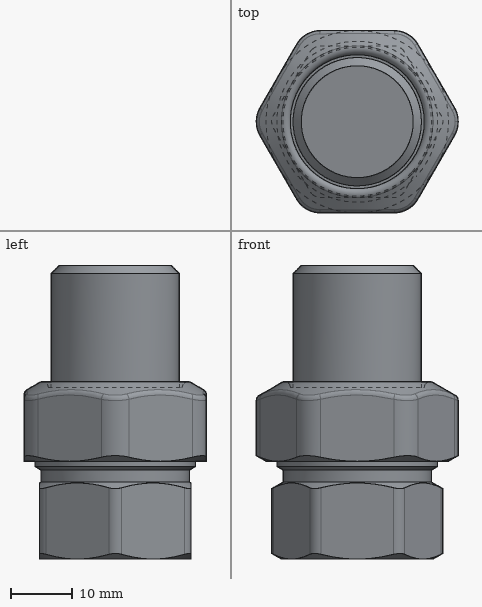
import cadquery as cq
import math

total_height = 48.0
cone_angle = math.radians(30)
cone_slope = math.tan(cone_angle)

spigot_diameter = 21.0
spigot_chamfer = 1.35

nut_flats = 29.8
nut_corner_radius = 4.55
nut_bottom = 16.0
nut_top = 29.0
nut_bore_radius = 10.95
nut_lip_radius = 0.95
nut_edge_radius = 1.0

collar_radius = 13.15
collar_cone_top = 15.15
collar_bottom = 14.55
neck_radius = 12.15

body_flats = 24.75
body_corner_radius = 2.05
body_top = 12.6


def hexagon(flats, corner_radius, bottom, top):
    """Hexagonal prism with corners on the X axis and rounded vertical edges."""
    across_corners = flats / math.cos(math.radians(30))
    prism = cq.Workplane("XY").workplane(offset=bottom).polygon(6, across_corners).extrude(top - bottom)
    return prism.edges("|Z").fillet(corner_radius)


def turned(points):
    """Solid of revolution about Z from a closed outline of (radius, height) points."""
    return cq.Workplane("XZ").polyline(points).close().revolve(360, (0, 0, 0), (0, 1, 0))


def turned_hexagon(flats, corner_radius, bottom, cone_radius, cone_top):
    """Hexagon with conical ends; the top cone has radius cone_radius at height cone_top."""
    chamfer_radius = flats / 2
    outer = flats
    envelope = turned([
        (0, bottom),
        (chamfer_radius, bottom),
        (outer, bottom + (outer - chamfer_radius) * cone_slope),
        (outer, cone_top - (outer - cone_radius) * cone_slope),
        (cone_radius, cone_top),
        (0, cone_top),
    ])
    return hexagon(flats, corner_radius, bottom, cone_top).intersect(envelope)


def union_nut():
    """Upper nut with a rounded lip that leaves a narrow gap around the spigot."""
    lip_centre_radius = nut_bore_radius + nut_lip_radius
    lip_centre_height = nut_top - nut_lip_radius
    cone_radius = lip_centre_radius + nut_lip_radius * math.sin(cone_angle)
    cone_top = lip_centre_height + nut_lip_radius * math.cos(cone_angle)
    nut = turned_hexagon(nut_flats, nut_corner_radius, nut_bottom, cone_radius, cone_top)

    wavy_edge = nut.faces("<Y").edges(">Z")
    nut = wavy_edge.fillet(nut_edge_radius)

    lip = (
        cq.Workplane("XZ")
        .moveTo(nut_bore_radius, lip_centre_height)
        .radiusArc((lip_centre_radius, nut_top), nut_lip_radius)
        .radiusArc((cone_radius, cone_top), nut_lip_radius)
        .lineTo(cone_radius, lip_centre_height)
        .close()
        .revolve(360, (0, 0, 0), (0, 1, 0))
    )
    recess = (
        cq.Workplane("XY")
        .workplane(offset=lip_centre_height)
        .circle(cone_radius)
        .extrude(nut_lip_radius)
    )
    return nut.cut(recess).union(lip)


def collar_and_neck():
    """Turned length joining the two hexagons."""
    return turned([
        (0, body_top),
        (neck_radius, body_top),
        (neck_radius, collar_bottom),
        (collar_radius, collar_cone_top),
        (collar_radius, nut_bottom),
        (0, nut_bottom),
    ])


def spigot():
    """Plain round end, running down to the foot of the nut and chamfered at the top."""
    return (
        cq.Workplane("XY")
        .workplane(offset=nut_bottom)
        .circle(spigot_diameter / 2)
        .extrude(total_height - nut_bottom)
        .faces(">Z")
        .chamfer(spigot_chamfer)
    )


lower_hexagon = turned_hexagon(body_flats, body_corner_radius, 0, neck_radius, body_top)
result = lower_hexagon.union(collar_and_neck()).union(union_nut()).union(spigot())